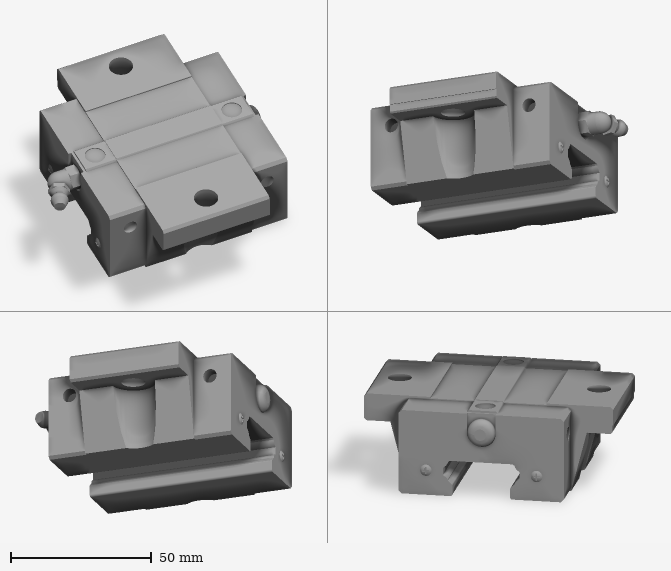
import cadquery as cq
import math


BLOCK_LENGTH = 41.5
BLOCK_HEIGHT = 32.0
FLANGE_WIDTH = 90.0
FLANGE_THICKNESS = 10.0
FLANGE_TOP_CHAMFER = 1.0
FLANGE_BOTTOM_CHAMFER = 0.9
REFERENCE_STEP = 0.35
REFERENCE_STEP_Z = 25.2
FLANK_TOP_HALF_WIDTH = 35.5
RECESS_HALF_WIDTH = 21.0
RECESS_DEPTH = 0.5
MOUNT_HOLE_SPACING = 72.0
MOUNT_HOLE_DIAMETER = 8.6
SCALLOP_RADIUS = 8.0

CAP_LENGTH = 14.0
SEAL_THICKNESS = 2.0
CAP_WIDTH = 59.7
CAP_HEIGHT = 31.0
CAP_CHAMFER = 1.1
CAP_PORT_OFFSET = 6.0
TOP_PORT_DIAMETER = 7.3
TOP_PORT_DEPTH = 0.4
SIDE_PORT_DIAMETER = 5.1
SIDE_PORT_DEPTH = 5.0
SIDE_PORT_Z = 23.0

STRIP_TOP_HALF_WIDTH = 4.9
STRIP_CAP_TOP_Z = 31.75
STRIP_ROOT = 1.0

OPENING_TOP_Z = 13.1
OPENING_TOP_HALF_WIDTH = 11.4
UPPER_STEP_HALF_WIDTH = 12.0
UPPER_STEP_Z = 12.6
WAIST_HALF_WIDTH = 13.9
WAIST_TOP_Z = 10.4
WAIST_BOTTOM_Z = 7.6
LOWER_STEP_HALF_WIDTH = 12.1
LOWER_STEP_TOP_Z = 6.1
LOWER_STEP_BOTTOM_Z = 5.7
SLOPE_END_HALF_WIDTH = 10.8
SLOPE_END_Z = 4.5
RACEWAY_RADIUS = 3.5
THROAT_HALF_WIDTH = 10.45
THROAT_TOP_Z = 4.0
THROAT_TOP_RADIUS = 0.8
THROAT_BOTTOM_RADIUS = 0.8

LUBE_Z = 24.0
LUBE_SLOT_RADIUS = 5.2
LUBE_SLOT_DEPTH = 1.1

SCREW_X = 20.0
SCREW_Z = 9.1
SCREW_HEAD_DIAMETER = 4.2
SCREW_HEAD_HEIGHT = 0.8
CROSS_LENGTH = 2.6
CROSS_WIDTH = 0.6
CROSS_DEPTH = 0.6

PLUG_RADIUS = 5.1
PLUG_PROTRUSION = 2.35
PLUG_FILLET = 3.0

NUT_ACROSS_FLATS = 8.0
NUT_LENGTH = 4.1
NUT_EDGE_ANGLE = 30.0
ELBOW_RADIUS = 4.0
ELBOW_CENTRE_OFFSET = 6.3
NIPPLE_ANGLE = 22.5
COLLAR_START = 3.5
COLLAR_END = 5.2
COLLAR_ACROSS_FLATS = 6.8
NECK_END = 7.1
NECK_RADIUS = 2.35
HEAD_BULGE_POSITION = 8.5
HEAD_BULGE_RADIUS = 3.15
HEAD_CONE_START = 9.5
HEAD_CONE_RADIUS = 3.1
TIP_POSITION = 11.95
TIP_RADIUS = 2.0

HALF_BLOCK = BLOCK_LENGTH / 2
HALF_TOTAL = HALF_BLOCK + CAP_LENGTH
HALF_CAP_WIDTH = CAP_WIDTH / 2
ENDS = (-1, 1)


def along_y(outline, y_start, y_end):
    """Prism of an X-Z outline between two Y positions."""
    plane = cq.Workplane("XZ", origin=(0, y_start, 0))
    return plane.polyline(outline).close().extrude(y_start - y_end)


def between(end, inner, outer):
    """Y positions in rising order, for distances from the middle towards one end."""
    return sorted((end * inner, end * outer))


def mirrored(right_half):
    """Closed outline from its +X half, listed from the top to the bottom."""
    return right_half + [(-x, z) for x, z in reversed(right_half)]


def strip(base_z, top_z, y_start, y_end):
    """Raised strip with 45 degree sides, rooted below the surface it stands on."""
    base_half_width = STRIP_TOP_HALF_WIDTH + top_z - base_z
    outline = mirrored([
        (STRIP_TOP_HALF_WIDTH, top_z),
        (base_half_width, base_z),
        (base_half_width, base_z - STRIP_ROOT),
    ])
    return along_y(outline, y_start, y_end)


def carriage_block():
    half_width = FLANGE_WIDTH / 2
    flange_z = BLOCK_HEIGHT - FLANGE_THICKNESS
    recess_z = BLOCK_HEIGHT - RECESS_DEPTH
    outline = mirrored([
        (RECESS_HALF_WIDTH, recess_z),
        (RECESS_HALF_WIDTH, BLOCK_HEIGHT),
        (half_width - FLANGE_TOP_CHAMFER, BLOCK_HEIGHT),
        (half_width, BLOCK_HEIGHT - FLANGE_TOP_CHAMFER),
        (half_width, flange_z + FLANGE_BOTTOM_CHAMFER),
        (half_width - FLANGE_BOTTOM_CHAMFER, flange_z),
        (FLANK_TOP_HALF_WIDTH, flange_z),
        (HALF_CAP_WIDTH, 0),
    ])
    body = along_y(outline, -HALF_BLOCK, HALF_BLOCK)
    relief = cq.Workplane("XY").box(
        REFERENCE_STEP, BLOCK_LENGTH, REFERENCE_STEP_Z, centered=(False, True, False)
    )
    body = body.cut(relief.translate((-half_width, 0, 0)))
    hole_centres = [(side * MOUNT_HOLE_SPACING / 2, 0) for side in ENDS]
    holes = cq.Workplane("XY").pushPoints(hole_centres)
    body = body.cut(holes.circle(MOUNT_HOLE_DIAMETER / 2).extrude(BLOCK_HEIGHT))
    body = body.cut(holes.circle(SCALLOP_RADIUS).extrude(flange_z))
    return body.union(strip(recess_z, BLOCK_HEIGHT, -HALF_BLOCK, HALF_BLOCK))


def end_cap(end):
    outline = mirrored([
        (HALF_CAP_WIDTH - CAP_CHAMFER, CAP_HEIGHT),
        (HALF_CAP_WIDTH, CAP_HEIGHT - CAP_CHAMFER),
        (HALF_CAP_WIDTH, CAP_CHAMFER),
        (HALF_CAP_WIDTH - CAP_CHAMFER, 0),
    ])
    cap = along_y(outline, *between(end, HALF_BLOCK, HALF_TOTAL))
    strip_range = between(end, HALF_BLOCK, HALF_TOTAL - SEAL_THICKNESS)
    cap = cap.union(strip(CAP_HEIGHT, STRIP_CAP_TOP_Z, *strip_range))

    port_y = end * (HALF_BLOCK + CAP_PORT_OFFSET)
    top_port = cq.Workplane("XY", origin=(0, port_y, STRIP_CAP_TOP_Z))
    cap = cap.cut(top_port.circle(TOP_PORT_DIAMETER / 2).extrude(-TOP_PORT_DEPTH))
    for side in ENDS:
        side_port = cq.Workplane("YZ", origin=(side * HALF_CAP_WIDTH, port_y, SIDE_PORT_Z))
        cap = cap.cut(side_port.circle(SIDE_PORT_DIAMETER / 2).extrude(-side * SIDE_PORT_DEPTH))

    slot_plane = cq.Workplane("XZ", origin=(0, end * HALF_TOTAL, LUBE_Z))
    slot = (
        slot_plane.moveTo(-LUBE_SLOT_RADIUS, BLOCK_HEIGHT - LUBE_Z)
        .lineTo(-LUBE_SLOT_RADIUS, 0)
        .threePointArc((0, -LUBE_SLOT_RADIUS), (LUBE_SLOT_RADIUS, 0))
        .lineTo(LUBE_SLOT_RADIUS, BLOCK_HEIGHT - LUBE_Z)
        .close()
        .extrude(end * LUBE_SLOT_DEPTH)
    )
    return cap.cut(slot)


def rail_opening():
    """Full-length prism of the opening, drawn on one side of X = 0 and mirrored."""
    half = (
        cq.Workplane("XZ", origin=(0, HALF_TOTAL, 0))
        .moveTo(0, OPENING_TOP_Z)
        .lineTo(OPENING_TOP_HALF_WIDTH, OPENING_TOP_Z)
        .lineTo(UPPER_STEP_HALF_WIDTH, UPPER_STEP_Z)
        .radiusArc((WAIST_HALF_WIDTH, WAIST_TOP_Z), -RACEWAY_RADIUS)
        .lineTo(WAIST_HALF_WIDTH, WAIST_BOTTOM_Z)
        .radiusArc((LOWER_STEP_HALF_WIDTH, LOWER_STEP_TOP_Z), -RACEWAY_RADIUS)
        .lineTo(LOWER_STEP_HALF_WIDTH, LOWER_STEP_BOTTOM_Z)
        .lineTo(SLOPE_END_HALF_WIDTH, SLOPE_END_Z)
        .radiusArc((THROAT_HALF_WIDTH, THROAT_TOP_Z), -THROAT_TOP_RADIUS)
        .lineTo(THROAT_HALF_WIDTH, THROAT_BOTTOM_RADIUS)
        .radiusArc((THROAT_HALF_WIDTH + THROAT_BOTTOM_RADIUS, 0), -THROAT_BOTTOM_RADIUS)
        .lineTo(0, 0)
        .close()
        .extrude(2 * HALF_TOTAL)
    )
    return half.union(half.mirror("YZ"))


def screw_head(x, end):
    """Domed head with a cross recess, built upwards and then turned to face the end."""
    radius = SCREW_HEAD_DIAMETER / 2
    dome_radius = (radius**2 + SCREW_HEAD_HEIGHT**2) / (2 * SCREW_HEAD_HEIGHT)
    dome = cq.Workplane("XY").sphere(dome_radius).translate((0, 0, SCREW_HEAD_HEIGHT - dome_radius))
    head = cq.Workplane("XY").circle(radius).extrude(SCREW_HEAD_HEIGHT).intersect(dome)
    recess = cq.Workplane("XY", origin=(0, 0, SCREW_HEAD_HEIGHT))
    head = head.cut(recess.rect(CROSS_LENGTH, CROSS_WIDTH).extrude(-CROSS_DEPTH))
    head = head.cut(recess.rect(CROSS_WIDTH, CROSS_LENGTH).extrude(-CROSS_DEPTH))
    head = head.rotate((0, 0, 0), (1, 0, 0), -90 * end)
    return head.translate((x, end * HALF_TOTAL, SCREW_Z))


def plug():
    """Domed plug seated in the +Y seal slot."""
    profile = (
        cq.Workplane("XY")
        .lineTo(PLUG_RADIUS, 0)
        .lineTo(PLUG_RADIUS, LUBE_SLOT_DEPTH + PLUG_PROTRUSION - PLUG_FILLET)
        .radiusArc((PLUG_RADIUS - PLUG_FILLET, LUBE_SLOT_DEPTH + PLUG_PROTRUSION), -PLUG_FILLET)
        .lineTo(0, LUBE_SLOT_DEPTH + PLUG_PROTRUSION)
        .close()
    )
    body = profile.revolve(360, (0, 0, 0), (0, 1, 0))
    return body.translate((0, HALF_TOTAL - LUBE_SLOT_DEPTH, LUBE_Z))


def across_corners(across_flats):
    """Corner-to-corner size of a hexagon."""
    return across_flats / math.cos(math.pi / 6)


def elbow_nut():
    """Hexagon nut with its corners turned down at both ends, along -Y from the slot floor."""
    corner_radius = across_corners(NUT_ACROSS_FLATS) / 2
    flat_radius = NUT_ACROSS_FLATS / 2
    turn_length = (corner_radius - flat_radius) * math.tan(math.radians(NUT_EDGE_ANGLE))
    hexagon = cq.Workplane("XZ").polygon(6, 2 * corner_radius).extrude(NUT_LENGTH)
    turned = (
        cq.Workplane("XY")
        .polyline([
            (0, 0),
            (flat_radius, 0),
            (corner_radius, -turn_length),
            (corner_radius, turn_length - NUT_LENGTH),
            (flat_radius, -NUT_LENGTH),
            (0, -NUT_LENGTH),
        ])
        .close()
        .revolve(360, (0, 0, 0), (0, 1, 0))
    )
    return hexagon.intersect(turned).translate((0, LUBE_SLOT_DEPTH - HALF_TOTAL, LUBE_Z))


def nipple():
    """Collar, neck and coupling head, built along +X and then swung towards -Y."""
    collar = (
        cq.Workplane("YZ", origin=(COLLAR_START, 0, 0))
        .polygon(6, across_corners(COLLAR_ACROSS_FLATS))
        .extrude(COLLAR_END - COLLAR_START)
    )
    head = (
        cq.Workplane("XY")
        .moveTo(COLLAR_START, 0)
        .lineTo(COLLAR_START, COLLAR_ACROSS_FLATS / 2)
        .lineTo(COLLAR_END, COLLAR_ACROSS_FLATS / 2)
        .lineTo(NECK_END, NECK_RADIUS)
        .threePointArc((HEAD_BULGE_POSITION, HEAD_BULGE_RADIUS), (HEAD_CONE_START, HEAD_CONE_RADIUS))
        .lineTo(TIP_POSITION, TIP_RADIUS)
        .lineTo(TIP_POSITION, 0)
        .close()
        .revolve(360, (0, 0, 0), (1, 0, 0))
    )
    return collar.union(head).rotate((0, 0, 0), (0, 0, 1), -NIPPLE_ANGLE)


def grease_fitting():
    centre = (0, -HALF_TOTAL - ELBOW_CENTRE_OFFSET, LUBE_Z)
    stem = cq.Workplane("XZ", origin=(0, LUBE_SLOT_DEPTH - HALF_TOTAL, LUBE_Z))
    stem = stem.circle(ELBOW_RADIUS).extrude(LUBE_SLOT_DEPTH + ELBOW_CENTRE_OFFSET)
    elbow = cq.Workplane("XY").sphere(ELBOW_RADIUS).translate(centre)
    return elbow_nut().union(stem).union(elbow).union(nipple().translate(centre))


result = carriage_block()
for end in ENDS:
    result = result.union(end_cap(end))
result = result.cut(rail_opening())
for end in ENDS:
    for side in ENDS:
        result = result.union(screw_head(side * SCREW_X, end))
result = result.union(plug()).union(grease_fitting())